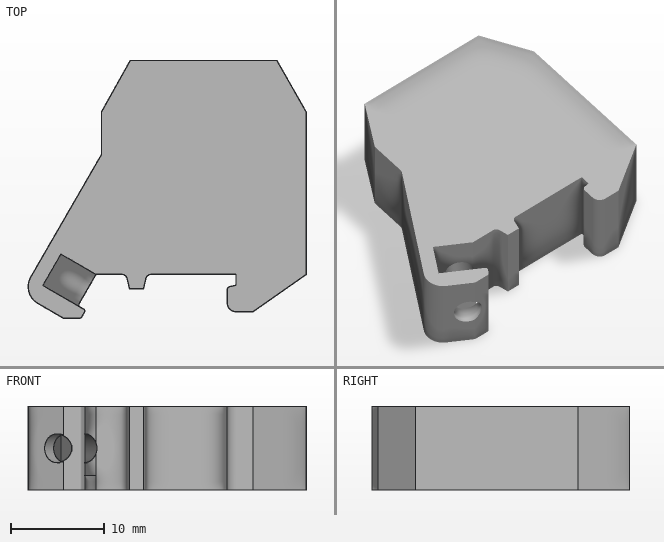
import cadquery as cq
import math

length = 29.9
width = 27.7
thickness = 9.0
shoulder_y = 22.15
left_side_x = 7.85
top_left_x = 10.97
top_right_x = 26.72

arm_angle = math.radians(30)
arm_corner_radius = 2.1
arm_corner_x = arm_corner_radius * (1 - math.sin(arm_angle) - math.cos(arm_angle))
arm_corner_y = 2.63
lip_thickness = 1.95
lip_length = 6.9
lip_tip_radius = 0.25
lip_toe_radius = 0.3

pocket_wall = 1.58
pocket_end = 5.95
pocket_span = 3.9
pocket_floor = 1.55
floor_bevel = 0.135

bore_diameter = 3.1
bore_along = 4.48
bore_blind_depth = 5.98

tooth_left_x = 10.88
tooth_right_x = 12.4
tooth_tip_y = 3.17
tooth_flare = 0.35
tooth_root_radius = 0.57

hook_root_x = 22.33
hook_tip_x = 21.37
hook_root_y = 3.55
hook_tip_y = 3.35
hook_bottom_y = 0.7
hook_toe_x = 24.15
hook_tip_radius = 0.4
hook_bottom_radius = 1.0


def arm_point(along, inward):
    """Point on the part from distances along the lip and inward from its outer face."""
    return (
        arm_corner_x + along * math.cos(arm_angle) + inward * math.sin(arm_angle),
        arm_corner_y - along * math.sin(arm_angle) + inward * math.cos(arm_angle),
    )


def round_corners(body, corners, radius):
    """Round the upright edges at the given outline corners."""
    for x, y in corners:
        edge = cq.selectors.NearestToPointSelector((x, y, thickness / 2))
        body = body.edges("|Z").edges(edge).fillet(radius)
    return body


pocket_far = lip_thickness + pocket_span
seat_start = arm_point(pocket_end, pocket_far)
seat_y = seat_start[1]

arm_corner = (arm_corner_x, arm_corner_y)
lip_heel = (arm_corner_x + arm_corner_y / math.tan(arm_angle), 0)
lip_tip = arm_point(lip_length, lip_thickness)
toe_inward = (lip_length * math.sin(arm_angle) - arm_corner_y) / math.cos(arm_angle)
lip_toe = arm_point(lip_length, toe_inward)
left_side_bottom = arm_corner_y + (left_side_x - arm_corner_x) / math.tan(arm_angle)

tooth_root_left = (tooth_left_x - tooth_flare, seat_y)
tooth_root_right = (tooth_right_x + tooth_flare, seat_y)
hook_tip = (hook_tip_x, hook_tip_y)
hook_bottom = (hook_tip_x, hook_bottom_y)

outline = [
    arm_corner,
    lip_heel,
    lip_toe,
    lip_tip,
    arm_point(pocket_end + floor_bevel, lip_thickness),
    arm_point(pocket_end, lip_thickness + floor_bevel / math.tan(arm_angle)),
    seat_start,
    tooth_root_left,
    (tooth_left_x, tooth_tip_y),
    (tooth_right_x, tooth_tip_y),
    tooth_root_right,
    (hook_root_x, seat_y),
    (hook_root_x, hook_root_y),
    hook_tip,
    hook_bottom,
    (hook_toe_x, hook_bottom_y),
    (length, seat_y),
    (length, shoulder_y),
    (top_right_x, width),
    (top_left_x, width),
    (left_side_x, shoulder_y),
    (left_side_x, left_side_bottom),
]
body = cq.Workplane("XY").polyline(outline).close().extrude(thickness)

body = round_corners(body, [arm_corner], arm_corner_radius)
body = round_corners(body, [lip_toe], lip_toe_radius)
body = round_corners(body, [lip_tip], lip_tip_radius)
body = round_corners(body, [tooth_root_left, tooth_root_right], tooth_root_radius)
body = round_corners(body, [hook_tip], hook_tip_radius)
body = round_corners(body, [hook_bottom], hook_bottom_radius)

pocket_open_end = pocket_end + floor_bevel
pocket_outline = [
    arm_point(pocket_wall, lip_thickness),
    arm_point(pocket_open_end, lip_thickness),
    arm_point(pocket_end, lip_thickness + floor_bevel / math.tan(arm_angle)),
    arm_point(pocket_end, pocket_far),
    arm_point(pocket_wall, pocket_far),
]
pocket = (
    cq.Workplane("XY")
    .workplane(offset=pocket_floor)
    .polyline(pocket_outline)
    .close()
    .extrude(thickness - pocket_floor)
)
body = body.cut(pocket)

bore_clearance = bore_diameter
bore_x, bore_y = arm_point(bore_along, -bore_clearance)
bore = cq.Solid.makeCylinder(
    bore_diameter / 2,
    bore_clearance + pocket_far + bore_blind_depth,
    cq.Vector(bore_x, bore_y, thickness / 2),
    cq.Vector(math.sin(arm_angle), math.cos(arm_angle), 0),
)
result = body.cut(cq.Workplane(obj=bore))